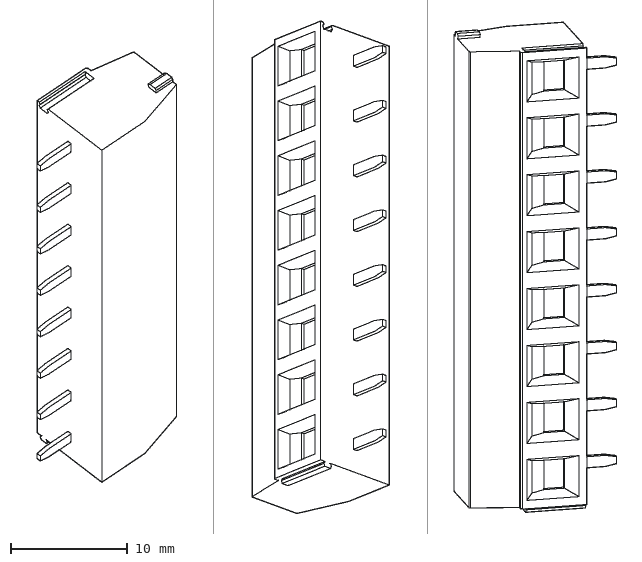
import cadquery as cq

body_width = 8.1
body_height = 10.05
body_length = 40.72

ledge_height = 5.85
ledge_chamfer = 0.12
front_slope_foot = 0.55
front_slope_top = 1.37
crown_chamfer = 0.1
back_slope_top = 6.75
back_slope_height = 5.05

pole_count = 8
pole_pitch = 5.1
first_pole = (body_length - (pole_count - 1) * pole_pitch) / 2

mouth_low = 0.7
mouth_high = 5.3
mouth_length = 3.65
floor_low = 1.7
floor_high = 4.45
floor_length = 2.62
funnel_depth = 1.1
shelf_depth = 0.8
shelf_high = 4.65
shelf_low = 3.55
recess_depth = 0.35

pin_center = 4.1
pin_thickness = 0.4
pin_width = 1.0
pin_tip_width = 0.62
pin_length = 3.62
pin_tip_length = 1.0

joint_center = 0.85
rib_height = 5.3
groove_height = 5.37
rib_root_width = 0.62
rib_width = 0.87
rib_end_width = 0.7
rib_shoulder = 0.2
rib_depth = 0.45
groove_mouth_width = 1.12
groove_neck_width = 0.87
groove_neck_depth = 0.15
groove_shoulder = 0.37
groove_depth = 0.62

nib_root = 5.4
nib_edge = 5.25
nib_crest_start = 5.55
nib_crest_end = 6.15
nib_back = 6.3
nib_shoulder = 0.3
nib_rise = 0.45
nib_length = 1.95


def housing():
    """Prism with sloped upper flanks, a chamfered crown and a ledge above the wire entries."""
    outline = [
        (0, 0),
        (body_width, 0),
        (body_width, back_slope_height),
        (back_slope_top, body_height),
        (front_slope_top + crown_chamfer, body_height),
        (front_slope_top, body_height - crown_chamfer),
        (front_slope_foot, ledge_height),
        (ledge_chamfer, ledge_height),
        (0, ledge_height - ledge_chamfer),
    ]
    return cq.Workplane("XY").polyline(outline).close().extrude(body_length)


def rectangle_across_x(depth, low, high, length):
    """Closed rectangle at X = depth, from low to high in Y, centred on Z = 0."""
    corners = [
        cq.Vector(depth, low, -length / 2),
        cq.Vector(depth, high, -length / 2),
        cq.Vector(depth, high, length / 2),
        cq.Vector(depth, low, length / 2),
    ]
    return cq.Wire.makePolygon(corners, close=True)


def wire_entry():
    """Volume of one tapered wire entry, centred on Z = 0."""
    mouth = rectangle_across_x(0, mouth_low, mouth_high, mouth_length)
    floor = rectangle_across_x(funnel_depth, floor_low, floor_high, floor_length)
    funnel = cq.Workplane(obj=cq.Solid.makeLoft([mouth, floor], True))
    shelf_outline = [
        (funnel_depth, shelf_low),
        (shelf_depth, shelf_high),
        (funnel_depth, shelf_high),
    ]
    shelf = cq.Workplane("XY").polyline(shelf_outline).close().extrude(mouth_length / 2, both=True)
    recess = (
        cq.Workplane("XY")
        .box(funnel_depth + recess_depth, shelf_low - floor_low, floor_length, centered=(False, False, True))
        .translate((0, floor_low, 0))
    )
    return funnel.cut(shelf).union(recess)


def solder_pin():
    """One flat pin with a tapered tip, centred on Z = 0 and hanging below Y = 0."""
    shank_end = -(pin_length - pin_tip_length)
    outline = [
        (-pin_width / 2, 0),
        (-pin_width / 2, shank_end),
        (-pin_tip_width / 2, -pin_length),
        (pin_tip_width / 2, -pin_length),
        (pin_width / 2, shank_end),
        (pin_width / 2, 0),
    ]
    pin = cq.Workplane("ZY").polyline(outline).close().extrude(pin_thickness / 2, both=True)
    return pin.translate((pin_center, 0, 0))


def joint_bar(widths_and_depths, end_level, height):
    """Bar along Y with a symmetric section given as (width, depth below end_level)."""
    left = [(joint_center - width / 2, end_level - depth) for width, depth in widths_and_depths]
    right = [(joint_center + width / 2, end_level - depth) for width, depth in reversed(widths_and_depths)]
    return cq.Workplane("XZ").polyline(left + right).close().extrude(-height)


def rib():
    section = [
        (rib_root_width, 0),
        (rib_width, rib_shoulder),
        (rib_end_width, rib_depth),
    ]
    return joint_bar(section, 0, rib_height)


def groove():
    section = [
        (groove_mouth_width, 0),
        (groove_neck_width, groove_neck_depth),
        (groove_mouth_width, groove_shoulder),
        (groove_neck_width, groove_depth),
    ]
    return joint_bar(section, body_length, groove_height)


def locking_nib():
    """Short bar on the top end, undercut toward -X and flush with the crown."""
    outline = [
        (nib_root, body_length),
        (nib_edge, body_length + nib_shoulder),
        (nib_crest_start, body_length + nib_rise),
        (nib_crest_end, body_length + nib_rise),
        (nib_back, body_length + nib_shoulder),
        (nib_back, body_length),
    ]
    nib = cq.Workplane("XZ").polyline(outline).close().extrude(nib_length)
    return nib.translate((0, body_height, 0))


block = housing().cut(groove()).union(rib()).union(locking_nib())
for pole in range(pole_count):
    pole_level = (0, 0, first_pole + pole * pole_pitch)
    block = block.cut(wire_entry().translate(pole_level))
    block = block.union(solder_pin().translate(pole_level))

result = block